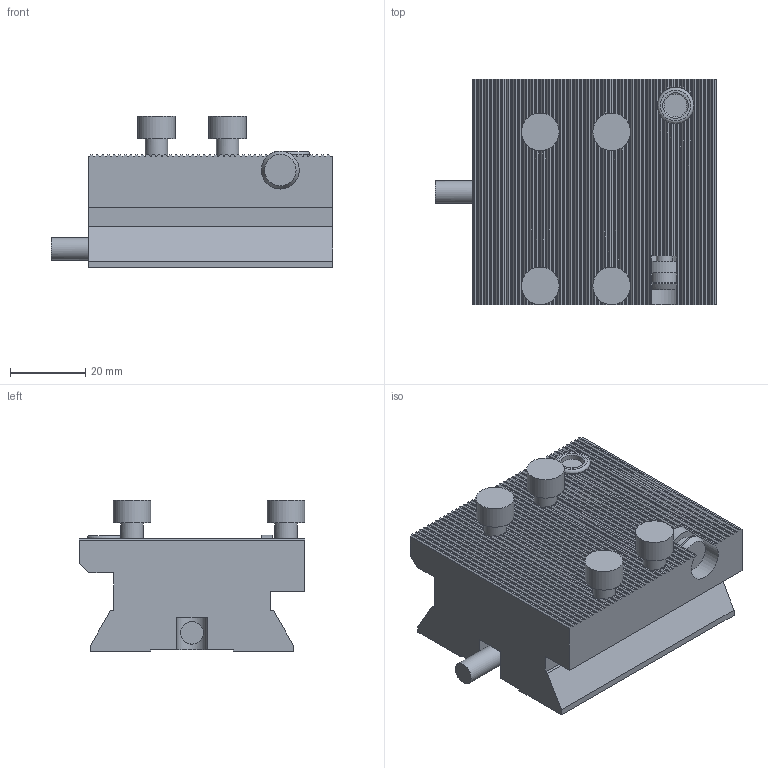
import cadquery as cq
import math

LENGTH = 65.0
WIDTH = 60.0
MID_Y = WIDTH / 2

RIDGE_TOP_Z = 30.05
RIDGE_DEPTH = 0.42
GROOVE_FLOOR_Z = RIDGE_TOP_Z - RIDGE_DEPTH
FRONT_FLANGE_Z = 16.0
REAR_FLANGE_Z = 21.0
REAR_CHAMFER = 2.5
NECK_INSET = 9.15
DOVETAIL_INSET = 3.0
DOVETAIL_LIP = 1.7
DOVETAIL_TOP_Z = 10.9
DOVETAIL_ANGLE = 60.0
RELIEF_WIDTH = 22.0
RELIEF_DEPTH = 0.5

EMBED_DEPTH = 0.6

RIDGE_PITCH = 1.5
RIDGE_TOP_WIDTH = 0.4
RIDGE_FLANK_ANGLE = 45.0

SCREW_XS = (18.0, 37.0)
SCREW_YS = (5.0, 46.0)
HEAD_DIAMETER = 10.0
HEAD_HEIGHT = 6.0
SCREW_SHANK_DIAMETER = 6.0
SCREW_TOP_Z = 40.25

PIN_DIAMETER = 6.0
PIN_PROJECTION = 10.0
PIN_Z = 5.0
SLOT_WIDTH = 8.0
SLOT_TOP_Z = 9.1
SLOT_STRAIGHT = 4.0

BORE_X = 51.0
BORE_Z = 25.95
BORE_DIAMETER = 10.1
BORE_DEPTH = 13.0
PLUNGER_FACE_Y = 4.0
PLUNGER_FACE_DIAMETER = 8.4
PLUNGER_CONE_END_Y = 5.5
PLUNGER_GROOVE_START_Y = 5.9
PLUNGER_GROOVE_DIAMETER = 6.8
PLUNGER_COLLAR_START_Y = 8.45
PLUNGER_COLLAR_END_Y = 11.5
PLUNGER_STEM_DIAMETER = 4.2

CUP_X = 54.0
CUP_Y = 53.0
CUP_TOP_Z = 30.9
CUP_DIAMETER = 9.63
CUP_OUTER_RADIUS = 0.75
CUP_MOUTH_DIAMETER = 6.8
CUP_RECESS_DIAMETER = 6.07
CUP_FLOOR_Z = 29.2


def make_block():
    """Flanged block with a dovetail foot, extruded along X."""
    flank_run = (DOVETAIL_TOP_Z - DOVETAIL_LIP) / math.tan(math.radians(DOVETAIL_ANGLE))
    flank_top = DOVETAIL_INSET + flank_run
    relief_front = MID_Y - RELIEF_WIDTH / 2
    relief_rear = MID_Y + RELIEF_WIDTH / 2
    outline = [
        (DOVETAIL_INSET, 0),
        (relief_front, 0),
        (relief_front, RELIEF_DEPTH),
        (relief_rear, RELIEF_DEPTH),
        (relief_rear, 0),
        (WIDTH - DOVETAIL_INSET, 0),
        (WIDTH - DOVETAIL_INSET, DOVETAIL_LIP),
        (WIDTH - flank_top, DOVETAIL_TOP_Z),
        (WIDTH - NECK_INSET, DOVETAIL_TOP_Z),
        (WIDTH - NECK_INSET, REAR_FLANGE_Z),
        (WIDTH - REAR_CHAMFER, REAR_FLANGE_Z),
        (WIDTH, REAR_FLANGE_Z + REAR_CHAMFER),
        (WIDTH, GROOVE_FLOOR_Z),
        (0, GROOVE_FLOOR_Z),
        (0, FRONT_FLANGE_Z),
        (NECK_INSET, FRONT_FLANGE_Z),
        (NECK_INSET, DOVETAIL_TOP_Z),
        (flank_top, DOVETAIL_TOP_Z),
        (DOVETAIL_INSET, DOVETAIL_LIP),
    ]
    return cq.Workplane("YZ").polyline(outline).close().extrude(LENGTH)


def make_ridges():
    """Flat-topped ridges along Y, on one comb-shaped profile with a thin root inside the block."""
    flank = RIDGE_DEPTH / math.tan(math.radians(RIDGE_FLANK_ANGLE))
    groove_floor = RIDGE_PITCH - RIDGE_TOP_WIDTH - 2 * flank
    root_z = GROOVE_FLOOR_Z - EMBED_DEPTH
    outline = [(0, root_z), (0, GROOVE_FLOOR_Z)]
    for index in range(int(LENGTH / RIDGE_PITCH)):
        start = index * RIDGE_PITCH + groove_floor / 2
        top_start = start + flank
        top_end = top_start + RIDGE_TOP_WIDTH
        outline.append((start, GROOVE_FLOOR_Z))
        outline.append((top_start, RIDGE_TOP_Z))
        outline.append((top_end, RIDGE_TOP_Z))
        outline.append((top_end + flank, GROOVE_FLOOR_Z))
    outline += [(LENGTH, GROOVE_FLOOR_Z), (LENGTH, root_z)]
    return cq.Workplane("XZ").polyline(outline).close().extrude(-WIDTH)


def make_screw(x, y):
    """Cap screw whose shank ends in the block below the ridges."""
    head_base_z = SCREW_TOP_Z - HEAD_HEIGHT
    shank_base_z = GROOVE_FLOOR_Z - EMBED_DEPTH
    head = cq.Workplane("XY", origin=(x, y, head_base_z)).circle(HEAD_DIAMETER / 2).extrude(HEAD_HEIGHT)
    shank = cq.Workplane("XY", origin=(x, y, shank_base_z)).circle(SCREW_SHANK_DIAMETER / 2)
    return head.union(shank.extrude(head_base_z - shank_base_z))


def make_slot():
    """Slot open at the left end and at the base, with a round inner end."""
    straight = cq.Workplane("XY").rect(2 * SLOT_STRAIGHT, SLOT_WIDTH).extrude(SLOT_TOP_Z)
    end = cq.Workplane("XY").center(SLOT_STRAIGHT, 0).circle(SLOT_WIDTH / 2).extrude(SLOT_TOP_Z)
    return straight.union(end).translate((0, MID_Y, 0))


def make_pin():
    """Side pin, reaching past the slot into the block."""
    length = PIN_PROJECTION + SLOT_STRAIGHT + SLOT_WIDTH
    plane = cq.Workplane("YZ", origin=(-PIN_PROJECTION, MID_Y, PIN_Z))
    return plane.circle(PIN_DIAMETER / 2).extrude(length)


def make_bore():
    """Blind bore along Y from the front face."""
    plane = cq.Workplane("XZ", origin=(BORE_X, 0, BORE_Z))
    return plane.circle(BORE_DIAMETER / 2).extrude(-BORE_DEPTH)


def make_plunger():
    """Turned plunger: coned nose, groove, full-size collar and thin stem, revolved about its axis."""
    outline = [
        (0, PLUNGER_FACE_Y),
        (PLUNGER_FACE_DIAMETER / 2, PLUNGER_FACE_Y),
        (BORE_DIAMETER / 2, PLUNGER_CONE_END_Y),
        (BORE_DIAMETER / 2, PLUNGER_GROOVE_START_Y),
        (PLUNGER_GROOVE_DIAMETER / 2, PLUNGER_GROOVE_START_Y),
        (PLUNGER_GROOVE_DIAMETER / 2, PLUNGER_COLLAR_START_Y),
        (BORE_DIAMETER / 2, PLUNGER_COLLAR_START_Y),
        (BORE_DIAMETER / 2, PLUNGER_COLLAR_END_Y),
        (PLUNGER_STEM_DIAMETER / 2, PLUNGER_COLLAR_END_Y),
        (PLUNGER_STEM_DIAMETER / 2, BORE_DEPTH),
        (0, BORE_DEPTH),
    ]
    profile = cq.Workplane("XY").polyline(outline).close()
    return profile.revolve(360, (0, 0, 0), (0, 1, 0)).translate((BORE_X, 0, BORE_Z))


def make_cup():
    """Cup with rounded rim edges and a straight recess, revolved about its axis."""
    outer = CUP_DIAMETER / 2
    mouth = CUP_MOUTH_DIAMETER / 2
    inner = CUP_RECESS_DIAMETER / 2
    mouth_radius = mouth - inner
    middle_ratio = 1 - math.sqrt(0.5)
    outer_offset = CUP_OUTER_RADIUS * middle_ratio
    inner_offset = mouth_radius * middle_ratio
    outer_arc_middle = (outer - outer_offset, CUP_TOP_Z - outer_offset)
    inner_arc_middle = (inner + inner_offset, CUP_TOP_Z - inner_offset)
    base_z = CUP_FLOOR_Z - EMBED_DEPTH
    profile = (
        cq.Workplane("XZ")
        .moveTo(0, base_z)
        .lineTo(outer, base_z)
        .lineTo(outer, CUP_TOP_Z - CUP_OUTER_RADIUS)
        .threePointArc(outer_arc_middle, (outer - CUP_OUTER_RADIUS, CUP_TOP_Z))
        .lineTo(mouth, CUP_TOP_Z)
        .threePointArc(inner_arc_middle, (inner, CUP_TOP_Z - mouth_radius))
        .lineTo(inner, CUP_FLOOR_Z)
        .lineTo(0, CUP_FLOOR_Z)
        .close()
    )
    return profile.revolve(360, (0, 0, 0), (0, 1, 0)).translate((CUP_X, CUP_Y, 0))


def make_cup_seat():
    """Clearance down to the cup floor, removing the ridges around and inside the cup."""
    plane = cq.Workplane("XY", origin=(CUP_X, CUP_Y, CUP_FLOOR_Z))
    return plane.circle(CUP_DIAMETER / 2).extrude(CUP_TOP_Z - CUP_FLOOR_Z)


result = make_block().union(make_ridges())
result = result.cut(make_slot()).union(make_pin())
result = result.cut(make_bore()).union(make_plunger())
result = result.cut(make_cup_seat()).union(make_cup())
for screw_x in SCREW_XS:
    for screw_y in SCREW_YS:
        result = result.union(make_screw(screw_x, screw_y))